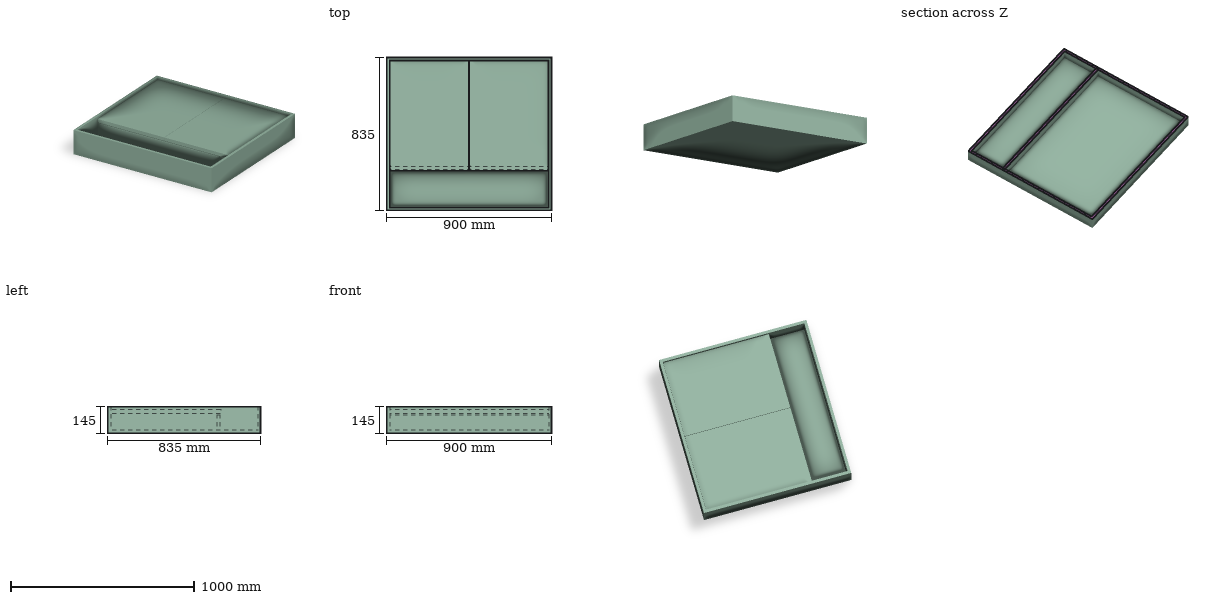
import cadquery as cq

cabinet_width = 900.0
cabinet_length = 835.0
cabinet_height = 145.0
wall_thickness = 16.0
floor_thickness = 18.0

door_length = 599.0
door_thickness = 20.0
door_recess = 15.0
door_gap = 2.0

partition_thickness = 16.0
partition_setback = 6.0
partition_clearance = 10.0

inner_width = cabinet_width - 2 * wall_thickness
inner_length = cabinet_length - 2 * wall_thickness
inner_left = -inner_width / 2
inner_front = -inner_length / 2
inner_back = inner_length / 2

door_width = (inner_width - 3 * door_gap) / 2
door_pitch = door_width + door_gap
door_bottom = cabinet_height - door_recess - door_thickness
door_front = inner_back - door_gap - door_length
partition_front = door_front + partition_setback
partition_height = door_bottom - partition_clearance - floor_thickness


def corner_box(width, length, height, corner):
    """Box whose left, front, bottom corner sits at the given point."""
    return cq.Workplane("XY").box(width, length, height, centered=False).translate(corner)


def make_cabinet():
    outer_corner = (-cabinet_width / 2, -cabinet_length / 2, 0)
    outer = corner_box(cabinet_width, cabinet_length, cabinet_height, outer_corner)
    cavity_depth = cabinet_height - floor_thickness
    cavity_corner = (inner_left, inner_front, floor_thickness)
    cavity = corner_box(inner_width, inner_length, cavity_depth, cavity_corner)
    return outer.cut(cavity)


def make_partition():
    corner = (inner_left, partition_front, floor_thickness)
    return corner_box(inner_width, partition_thickness, partition_height, corner)


def make_door(left_edge):
    corner = (left_edge, door_front, door_bottom)
    return corner_box(door_width, door_length, door_thickness, corner)


cabinet = make_cabinet()
partition = make_partition()
doors = [make_door(inner_left + door_gap + index * door_pitch) for index in range(2)]

result = cq.Compound.makeCompound([cabinet.val(), partition.val(), *[door.val() for door in doors]])